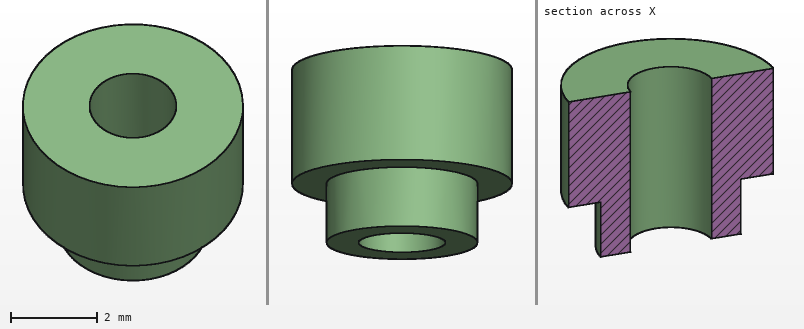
import cadquery as cq

head_diameter = 5.1
spigot_diameter = 3.5
bore_diameter = 2.01
total_height = 4.1
spigot_height = 1.395
head_height = total_height - spigot_height

spigot = cq.Workplane("XY").circle(spigot_diameter / 2).extrude(spigot_height)

bushing = spigot.faces(">Z").workplane().circle(head_diameter / 2).extrude(head_height)

result = bushing.faces(">Z").workplane().circle(bore_diameter / 2).cutThruAll()